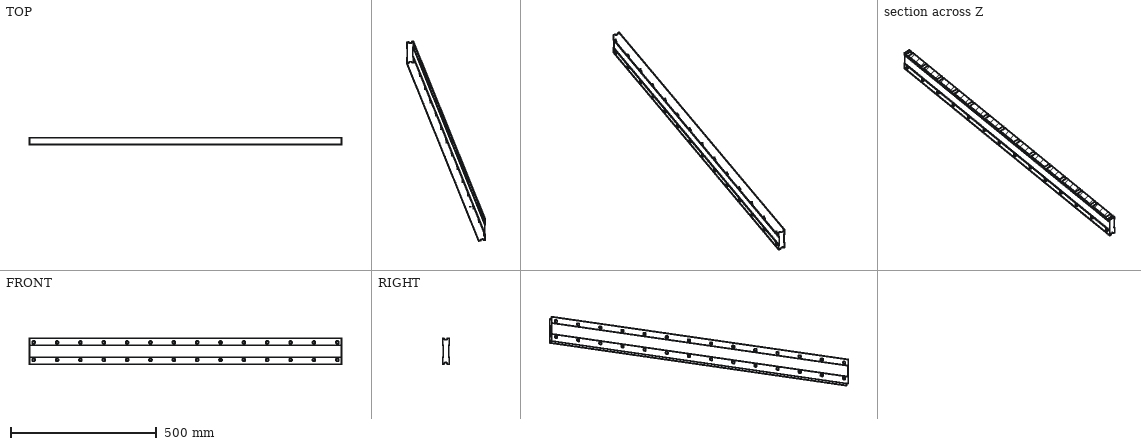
import cadquery as cq
import math

length = 1070.0
thickness = 24.0
height = 90.0

relief_width = 42.0
relief_depth = 1.6

groove_offset = -1.0
groove_floor_width = 6.0
groove_depth = 5.0
groove_wall_angle = 60.0
groove_wall_run = groove_depth / math.tan(math.radians(groove_wall_angle))

edge_radius = 1.0

hole_diameter = 9.0
holes_per_row = 14
row_count = 2
row_spacing = 60.0
end_margin = 15.0
hole_pitch = (length - 2 * end_margin) / (holes_per_row - 1)


def edge_groove(side):
    """Trapezoidal groove along the narrow face on the given side of Z."""
    floor_half = groove_floor_width / 2
    mouth_half = floor_half + groove_wall_run
    mouth_z = side * height / 2
    floor_z = mouth_z - side * groove_depth
    return (
        cq.Workplane("YZ")
        .moveTo(groove_offset - mouth_half, mouth_z)
        .lineTo(groove_offset - floor_half, floor_z)
        .lineTo(groove_offset + floor_half, floor_z)
        .lineTo(groove_offset + mouth_half, mouth_z)
        .close()
        .extrude(length / 2, both=True)
    )


def grooved_bar():
    """Bar with a groove in each narrow face and all its long edges rounded."""
    bar = cq.Workplane("XY").box(length, thickness, height)
    for side in (-1, 1):
        bar = bar.cut(edge_groove(side))
    return bar.edges("|X").fillet(edge_radius)


def relief(side):
    """Shallow channel in the broad face on the given side of Y."""
    channel = cq.Workplane("XY").box(length, 2 * relief_depth, relief_width)
    return channel.translate((0, side * thickness / 2, 0))


def mounting_holes():
    """Through holes, one row in each land beside the relief."""
    return (
        cq.Workplane("XZ")
        .rarray(hole_pitch, row_spacing, holes_per_row, row_count)
        .circle(hole_diameter / 2)
        .extrude(thickness, both=True)
    )


result = grooved_bar()
for side in (-1, 1):
    result = result.cut(relief(side))
result = result.cut(mounting_holes())